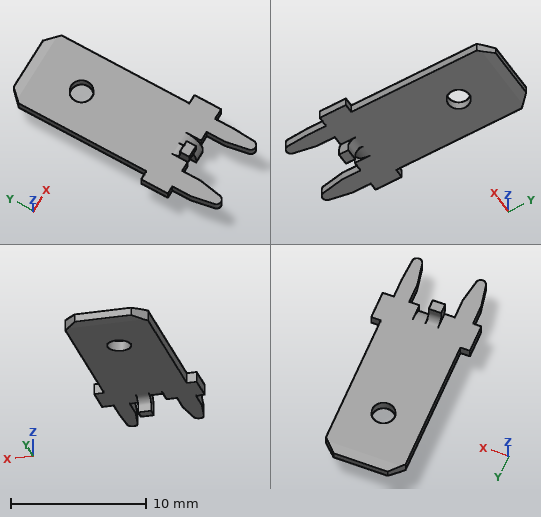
import cadquery as cq
import math

overall_width = 7.87
overall_length = 17.96
overall_height = 3.05
thickness = 0.81

blade_width = 6.35
shoulder_length = 2.28
leg_length = 3.75
blade_end = overall_length - leg_length
corner_chamfer = 1.02
bevel_length = 0.76
bevel_depth = 0.1

hole_diameter = 1.78
hole_from_end = 4.55

leg_pitch = 5.08
leg_half_width = 0.73
right_leg_outer_half_width = 0.51
leg_straight_length = 1.57
leg_tip_radius = 0.395

tab_width = 1.0
tab_height = (overall_height - thickness) / 2
tab_straight_length = 0.49
bend_inner_radius = tab_height - tab_straight_length
bend_outer_radius = bend_inner_radius + thickness
bend_start = 1.3


def make_sheet():
    """Blade with chamfered corners, standing on the wider shoulders."""
    shoulders = (
        cq.Workplane("XY")
        .rect(overall_width, shoulder_length)
        .extrude(thickness / 2, both=True)
        .translate((0, shoulder_length / 2, 0))
    )
    blade = (
        cq.Workplane("XY")
        .rect(blade_width, blade_end)
        .extrude(thickness / 2, both=True)
        .translate((0, blade_end / 2, 0))
        .edges("|Z and >Y")
        .chamfer(corner_chamfer)
    )
    return blade.union(shoulders)


def bevel_blade_end(sheet):
    """Thin the leading end of the blade equally from both faces."""
    face = thickness / 2
    for side in (1, -1):
        wedge = (
            cq.Workplane("YZ")
            .moveTo(blade_end - bevel_length, side * face)
            .lineTo(blade_end, side * face)
            .lineTo(blade_end, side * (face - bevel_depth))
            .close()
            .extrude(blade_width / 2, both=True)
        )
        sheet = sheet.cut(wedge)
    return sheet


def cut_detent_hole(sheet):
    hole = (
        cq.Workplane("XY")
        .center(0, blade_end - hole_from_end)
        .circle(hole_diameter / 2)
        .extrude(thickness, both=True)
    )
    return sheet.cut(hole)


def tip_tangent_point(half_width):
    """Where a taper meets the tip round: sideways distance from the leg's centre line, and Y."""
    tip_center_y = leg_tip_radius - leg_length
    taper_start_y = -leg_straight_length - tip_center_y
    taper_start_distance = math.hypot(half_width, taper_start_y)
    taper_start_angle = math.atan2(taper_start_y, half_width)
    angle = taper_start_angle - math.acos(leg_tip_radius / taper_start_distance)
    return leg_tip_radius * math.cos(angle), tip_center_y + leg_tip_radius * math.sin(angle)


def make_leg(center_x, left_half_width, right_half_width):
    """Leg that runs straight, then tapers to a rounded tip."""
    left_offset, left_y = tip_tangent_point(left_half_width)
    right_offset, right_y = tip_tangent_point(right_half_width)
    return (
        cq.Workplane("XY")
        .moveTo(center_x - left_half_width, 0)
        .lineTo(center_x - left_half_width, -leg_straight_length)
        .lineTo(center_x - left_offset, left_y)
        .threePointArc((center_x, -leg_length), (center_x + right_offset, right_y))
        .lineTo(center_x + right_half_width, -leg_straight_length)
        .lineTo(center_x + right_half_width, 0)
        .close()
        .extrude(thickness / 2, both=True)
    )


def cut_tab_notch(sheet):
    """Opening left in the sheet where the two tabs are bent away."""
    notch = (
        cq.Workplane("XY")
        .rect(2 * tab_width, bend_start)
        .extrude(thickness, both=True)
        .translate((0, bend_start / 2, 0))
    )
    return sheet.cut(notch)


def make_tab(left_x, side):
    """Tab bent through 90 degrees, upward for side = 1 and downward for side = -1."""
    bend_center_z = thickness / 2 + bend_inner_radius
    tip_z = thickness / 2 + tab_height
    diagonal = math.sqrt(0.5)
    inner_y = bend_start - bend_inner_radius
    outer_y = bend_start - bend_outer_radius

    def arc_middle(radius):
        return (bend_start - radius * diagonal, side * (bend_center_z - radius * diagonal))

    return (
        cq.Workplane("YZ", origin=(left_x, 0, 0))
        .moveTo(bend_start, side * thickness / 2)
        .threePointArc(arc_middle(bend_inner_radius), (inner_y, side * bend_center_z))
        .lineTo(inner_y, side * tip_z)
        .lineTo(outer_y, side * tip_z)
        .lineTo(outer_y, side * bend_center_z)
        .threePointArc(arc_middle(bend_outer_radius), (bend_start, -side * thickness / 2))
        .close()
        .extrude(tab_width)
    )


terminal = make_sheet()
terminal = bevel_blade_end(terminal)
terminal = cut_detent_hole(terminal)
terminal = terminal.union(make_leg(-leg_pitch / 2, leg_half_width, leg_half_width))
terminal = terminal.union(make_leg(leg_pitch / 2, leg_half_width, right_leg_outer_half_width))
terminal = cut_tab_notch(terminal)
terminal = terminal.union(make_tab(-tab_width, 1))
terminal = terminal.union(make_tab(0, -1))

result = terminal